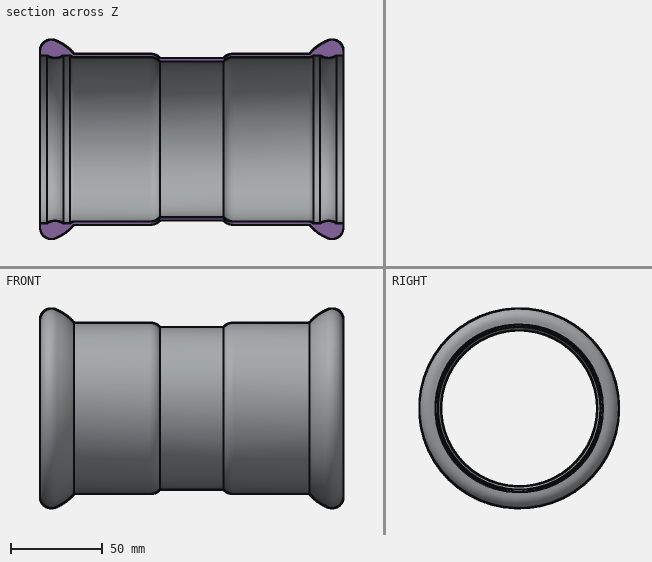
import cadquery as cq
import math


def tangent_arc_radius(run, drop):
    """Radius of an arc that starts parallel to X and covers the given run and drop."""
    return (run**2 + drop**2) / (2 * drop)


length = 165.5
bead_diameter = 109.0
body_diameter = 93.5
waist_diameter = 88.9
mouth_diameter = 91.4
wall = 2.0
ring_height = 1.3

lip_length = 3.8
bead_end = 9.1
ring_end = 12.7
seat_end = 16.4
taper_end = 18.7
body_end = 60.2
waist_start = 65.4

bead_radius = 6.3
taper_radius = 26.5

bead_center_radius = bead_diameter / 2 - bead_radius
body_radius = body_diameter / 2
waist_radius = waist_diameter / 2
mouth_radius = mouth_diameter / 2
socket_bore_radius = body_radius - wall
waist_bore_radius = waist_radius - wall

shoulder_radius = tangent_arc_radius(waist_start - body_end, body_radius - waist_radius)

step_radius = tangent_arc_radius(taper_end - seat_end, mouth_radius - socket_bore_radius)


def bead_point(arc_radius, angle_degrees):
    """Point on a circle about the bead centre, as (position along X, radius)."""
    angle = math.radians(angle_degrees)
    return (
        bead_radius + arc_radius * math.cos(angle),
        bead_center_radius + arc_radius * math.sin(angle),
    )


def socket():
    """Left end of the coupling, from its bead to the start of the waist."""
    bead_end_angle = math.degrees(math.acos((bead_end - bead_radius) / bead_radius))
    ring_crest = ((lip_length + ring_end) / 2, mouth_radius - ring_height)
    profile = (
        cq.Workplane("XY")
        .moveTo(0, mouth_radius)
        .lineTo(0, bead_center_radius)
        .threePointArc(bead_point(bead_radius, 135), bead_point(bead_radius, bead_end_angle))
        .radiusArc((taper_end, body_radius), taper_radius)
        .lineTo(body_end, body_radius)
        .radiusArc((waist_start, waist_radius), shoulder_radius)
        .lineTo(waist_start, waist_bore_radius)
        .radiusArc((body_end, socket_bore_radius), -shoulder_radius)
        .lineTo(taper_end, socket_bore_radius)
        .radiusArc((seat_end, mouth_radius), step_radius)
        .lineTo(ring_end, mouth_radius)
        .threePointArc(ring_crest, (lip_length, mouth_radius))
        .close()
    )
    return profile.revolve(360, (0, 0, 0), (1, 0, 0)).translate((-length / 2, 0, 0))


def waist():
    """Plain tube joining the two sockets."""
    waist_length = length - 2 * waist_start
    return (
        cq.Workplane("YZ", origin=(-waist_length / 2, 0, 0))
        .circle(waist_radius)
        .circle(waist_bore_radius)
        .extrude(waist_length)
    )


left_socket = socket()
right_socket = left_socket.mirror("YZ")
result = waist().union(left_socket).union(right_socket)